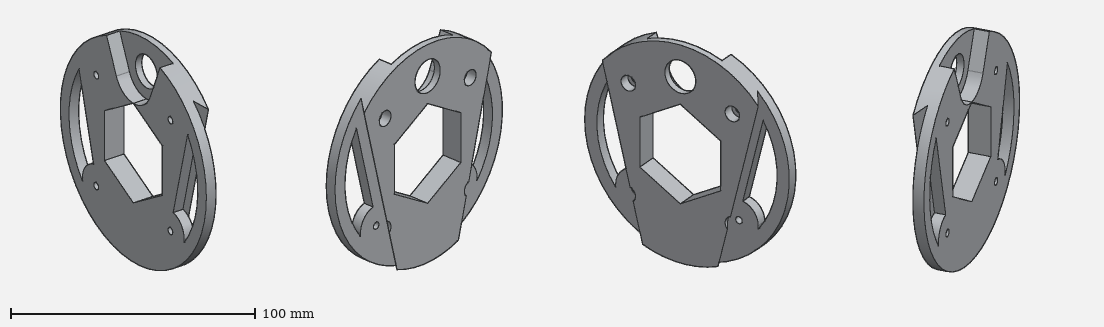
import cadquery as cq
import math

disc_radius = 50.0
thickness = 10.0
plate_thickness = 5.0

wedge_half_angle = 14.0
wedge_back_half_width = 30.0
wedge_undercut = 4.6

hexagon_flats = 39.5

bore_radius = 7.5
bore_height = 35.4
recess_radius = 12.6
recess_depth = 6.7
recess_side_angle = 22.5

screw_offset = 25.4
screw_radius = 1.6
head_radius = 3.5

window_outer_radius = 44.0
window_half_width = 31.3
screw_lobe_radius = 9.4

reach = 2 * disc_radius


def plane_at(y):
    """XZ plane whose positive extrusion runs toward -Y."""
    return cq.Workplane(cq.Plane(origin=(0, y, 0), xDir=(1, 0, 0), normal=(0, -1, 0)))


def cylinder(radius, y_start, y_end, x=0, z=0):
    return plane_at(y_start).center(x, z).circle(radius).extrude(y_start - y_end)


def wedge_outline(half_width):
    """Corners of a trapezoid that widens upward, beyond the disc at both ends."""
    spread = disc_radius * math.tan(math.radians(wedge_half_angle))
    lower = half_width - spread
    upper = half_width + spread
    return [(-lower, -disc_radius), (lower, -disc_radius), (upper, disc_radius), (-upper, disc_radius)]


def make_body():
    plate = cylinder(disc_radius, 0, plate_thickness)
    wedge = (
        plane_at(plate_thickness)
        .polyline(wedge_outline(wedge_back_half_width - wedge_undercut)).close()
        .workplane(offset=plate_thickness - thickness)
        .polyline(wedge_outline(wedge_back_half_width)).close()
        .loft(ruled=True)
    )
    return plate.union(wedge.intersect(cylinder(disc_radius, 0, thickness)))


def make_hexagon():
    corner_diameter = hexagon_flats / math.cos(math.radians(30))
    hexagon = plane_at(0).polygon(6, corner_diameter).extrude(-thickness)
    return hexagon.rotate((0, 0, 0), (0, 1, 0), 90)


def make_recess():
    angle = math.radians(recess_side_angle)
    tangent_x = recess_radius * math.cos(angle)
    tangent_z = bore_height - recess_radius * math.sin(angle)
    top_x = tangent_x + (disc_radius - tangent_z) * math.tan(angle)
    return (
        plane_at(0)
        .moveTo(-top_x, disc_radius)
        .lineTo(-tangent_x, tangent_z)
        .threePointArc((0, bore_height - recess_radius), (tangent_x, tangent_z))
        .lineTo(top_x, disc_radius)
        .close()
        .extrude(-recess_depth)
    )


def make_window(side):
    """Opening between the rim and the wedge; side is -1 for left and +1 for right."""
    slope = math.tan(math.radians(wedge_half_angle))
    outside_edge = (
        plane_at(0)
        .polyline([
            (side * (window_half_width - screw_offset * slope), -screw_offset),
            (side * reach, -screw_offset),
            (side * reach, disc_radius),
            (side * (window_half_width + disc_radius * slope), disc_radius),
        ])
        .close()
        .extrude(-thickness)
    )
    lobe_side = screw_offset + screw_lobe_radius
    below_lobe = (
        plane_at(0)
        .polyline([
            (side * lobe_side, -screw_offset),
            (side * reach, -screw_offset),
            (side * reach, -disc_radius),
            (side * lobe_side, -disc_radius),
        ])
        .close()
        .extrude(-thickness)
    )
    lobe = cylinder(screw_lobe_radius, 0, thickness, side * screw_offset, -screw_offset)
    inside_rim = cylinder(window_outer_radius, 0, thickness)
    in_plate = cylinder(disc_radius, 0, plate_thickness)
    return outside_edge.union(below_lobe).cut(lobe).intersect(inside_rim).intersect(in_plate)


result = make_body()
result = result.cut(make_hexagon())
result = result.cut(make_recess())
result = result.cut(cylinder(bore_radius, 0, thickness, z=bore_height))

for side in (-1, 1):
    result = result.cut(make_window(side))
    for level in (-1, 1):
        x = side * screw_offset
        z = level * screw_offset
        result = result.cut(cylinder(screw_radius, 0, thickness, x, z))
        result = result.cut(cylinder(head_radius, plate_thickness, thickness, x, z))